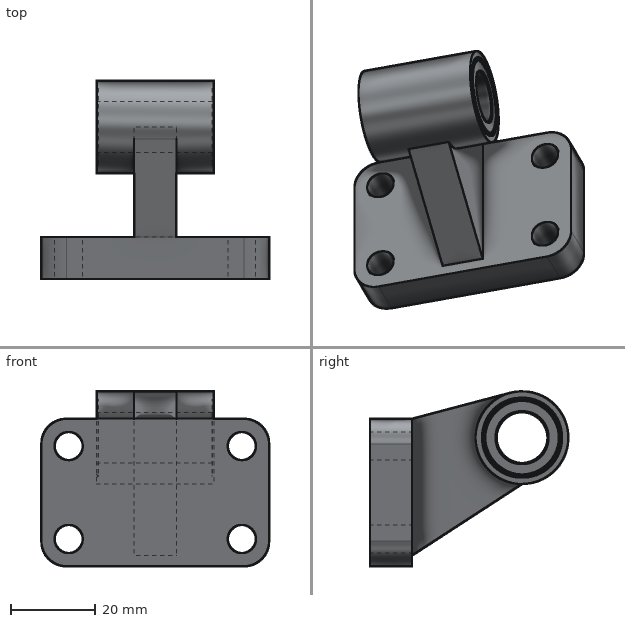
import cadquery as cq
import math

PLATE_WIDTH = 54.0
PLATE_THICKNESS = 10.0
PLATE_HEIGHT = 35.0
PLATE_CORNER_RADIUS = 6.0
BOLT_DIAMETER = 6.6
BOLT_SPACING_X = 41.0
BOLT_SPACING_Z = 22.0

BARREL_DIAMETER = 22.0
BARREL_LENGTH = 27.8
BARREL_RADIUS = BARREL_DIAMETER / 2
OVERALL_DEPTH = 47.0
OVERALL_HEIGHT = 41.5
BARREL_Y = OVERALL_DEPTH - BARREL_RADIUS
BARREL_Z = OVERALL_HEIGHT - BARREL_RADIUS

BUSHING_DIAMETER = 18.0
BORE_DIAMETER = 12.0
HOUSING_CHAMFER = 0.5
BUSHING_CHAMFER = 0.3
BORE_CHAMFER = 0.3

RIB_THICKNESS = 10.0
RIB_FOOT_Z = 2.6


def make_plate():
    """Rounded rectangular plate with four through holes."""
    plate = (
        cq.Workplane("XY")
        .box(PLATE_WIDTH, PLATE_THICKNESS, PLATE_HEIGHT)
        .edges("|Y")
        .fillet(PLATE_CORNER_RADIUS)
        .faces("<Y")
        .workplane()
        .rect(BOLT_SPACING_X, BOLT_SPACING_Z, forConstruction=True)
        .vertices()
        .hole(BOLT_DIAMETER)
    )
    return plate.translate((0, PLATE_THICKNESS / 2, PLATE_HEIGHT / 2))


def upper_tangent_point():
    """(Y, Z) where the rib's top face, rising from the plate's top edge, touches the barrel."""
    offset_y = PLATE_THICKNESS - BARREL_Y
    offset_z = PLATE_HEIGHT - BARREL_Z
    distance = math.hypot(offset_y, offset_z)
    angle = math.atan2(offset_z, offset_y) - math.acos(BARREL_RADIUS / distance)
    return (
        BARREL_Y + BARREL_RADIUS * math.cos(angle),
        BARREL_Z + BARREL_RADIUS * math.sin(angle),
    )


def make_rib():
    """Tapered web from the back of the plate to the barrel."""
    return (
        cq.Workplane("YZ")
        .moveTo(PLATE_THICKNESS, RIB_FOOT_Z)
        .lineTo(PLATE_THICKNESS, PLATE_HEIGHT)
        .lineTo(*upper_tangent_point())
        .lineTo(BARREL_Y, BARREL_Z)
        .lineTo(BARREL_Y, BARREL_Z - BARREL_RADIUS)
        .close()
        .extrude(RIB_THICKNESS / 2, both=True)
    )


def make_barrel():
    """Solid cylinder centred on X = 0."""
    return (
        cq.Workplane("YZ")
        .center(BARREL_Y, BARREL_Z)
        .circle(BARREL_RADIUS)
        .extrude(BARREL_LENGTH / 2, both=True)
    )


def revolve_about_barrel(profile):
    """Turn a closed (X, radius) profile about the barrel axis."""
    return (
        cq.Workplane("XY")
        .polyline(profile)
        .close()
        .revolve(360, (0, 0, 0), (1, 0, 0))
        .translate((0, BARREL_Y, BARREL_Z))
    )


def make_bore():
    """Through bore with a chamfer at both mouths."""
    end_x = BARREL_LENGTH / 2
    radius = BORE_DIAMETER / 2
    return revolve_about_barrel([
        (-end_x, 0),
        (-end_x, radius + BORE_CHAMFER),
        (-end_x + BORE_CHAMFER, radius),
        (end_x - BORE_CHAMFER, radius),
        (end_x, radius + BORE_CHAMFER),
        (end_x, 0),
    ])


def make_seam_groove(side):
    """V groove formed by the chamfers of housing and bushing; side is -1 or 1."""
    radius = BUSHING_DIAMETER / 2
    end_x = side * BARREL_LENGTH / 2
    return revolve_about_barrel([
        (end_x, radius - BUSHING_CHAMFER),
        (end_x - side * BUSHING_CHAMFER, radius),
        (end_x - side * HOUSING_CHAMFER, radius),
        (end_x, radius + HOUSING_CHAMFER),
    ])


result = make_plate().union(make_rib()).union(make_barrel()).cut(make_bore())
for end_side in (-1, 1):
    result = result.cut(make_seam_groove(end_side))